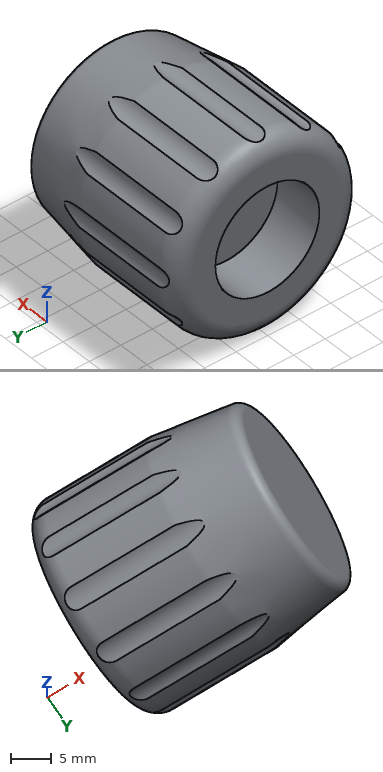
import cadquery as cq
import math

length = 30.0
body_radius = 15.0
front_fillet = 3.0
cone_start = 18.03
cone_angle = math.radians(8.7)
shoulder_fillet = 3.0
rear_fillet = 1.5

bore_diameter = 16.5
bore_depth = 8.0

flute_count = 12
flute_width = 3.0
flute_floor_radius = 14.5


def make_body():
    """Cylinder with a tapered rear end and rounded edges."""
    rear_radius = body_radius - (length - cone_start) * math.tan(cone_angle)
    profile = (
        cq.Workplane("XY")
        .moveTo(0, 0)
        .lineTo(0, body_radius)
        .lineTo(cone_start, body_radius)
        .lineTo(length, rear_radius)
        .lineTo(length, 0)
        .close()
    )
    body = profile.revolve(360, (0, 0, 0), (1, 0, 0))
    body = body.faces("<X").edges().fillet(front_fillet)
    body = body.faces(">X").edges().fillet(rear_fillet)
    shoulder = cq.selectors.NearestToPointSelector((cone_start, 0, 0))
    return body.edges("%CIRCLE").edges(shoulder).fillet(shoulder_fillet)


def make_bore():
    """Flat-bottomed cylindrical cutter."""
    return cq.Workplane("YZ").circle(bore_diameter / 2).extrude(bore_depth)


def make_flutes():
    """Round-bottomed cutters, one of them straight above the axis."""
    half_width = flute_width / 2
    rim_height = math.sqrt(body_radius**2 - half_width**2)
    sag = rim_height - flute_floor_radius
    flute_radius = (half_width**2 + sag**2) / (2 * sag)
    return (
        cq.Workplane("YZ")
        .polarArray(flute_floor_radius + flute_radius, 0, 360, flute_count)
        .circle(flute_radius)
        .extrude(length)
    )


result = make_body().cut(make_bore()).cut(make_flutes())